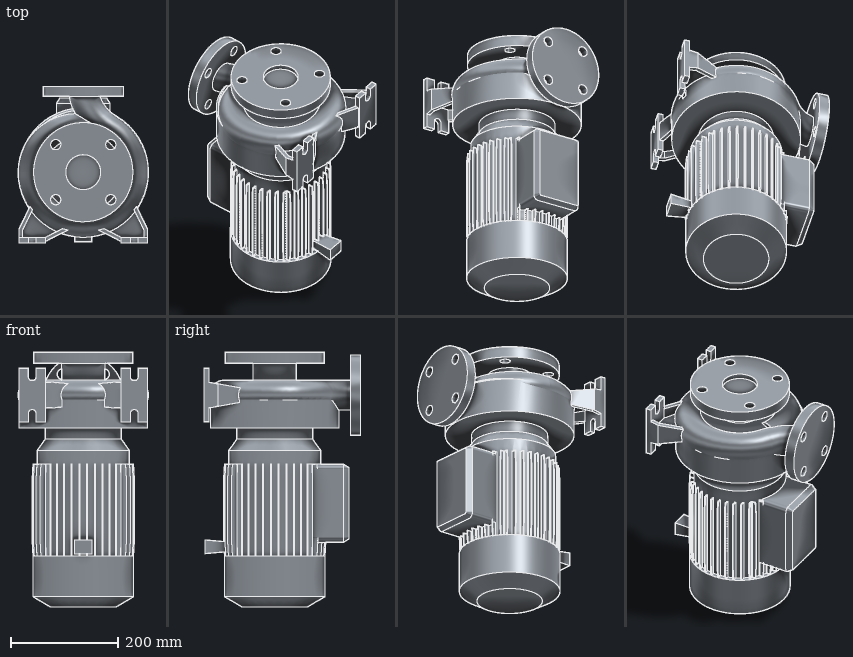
import cadquery as cq
import math


SUCTION_FACE_Z = 80.0
BASE_Z = -395.0
DISCHARGE_FACE_Y = 160.0
FOOT_FACE_Y = -132.0

SUCTION_FLANGE_D = 185.0
SUCTION_FLANGE_T = 21.0
SUCTION_BOLT_CIRCLE_D = 145.0
SUCTION_NECK_D = 81.0
SUCTION_BORE_D = 65.0
SUCTION_BORE_DEPTH = 10.0

DISCHARGE_FLANGE_D = 150.0
DISCHARGE_FLANGE_T = 19.0
DISCHARGE_BOLT_CIRCLE_D = 110.0

BOLT_HOLE_D = 19.0
BOLT_COUNT = 4

CASING_R = 120.0
CASING_TOP_Z = 7.0
CASING_BOTTOM_Z = -61.5
CASING_CHAMFER = 4.0
TUBE_R = 28.0
SCROLL_OUTER_R = 121.5
SCROLL_R = SCROLL_OUTER_R - TUBE_R
SCROLL_END_ANGLE = 60.0
TAIL_R = 82.0
TAIL_SWEEP = 115.0
HUB_R = 85.0
HUB_TOP_Z = 19.5

LANTERN_R = 71.0
LANTERN_CONE_TOP_Z = -82.0
LANTERN_CONE_BOTTOM_Z = -103.0
BODY_R = 86.0
FIN_TOP_Z = -128.5
FAN_COVER_TOP_Z = -299.5
FAN_COVER_R = 94.0
FAN_CONE_TOP_Z = -375.5
FAN_CONE_BOTTOM_R = 61.0

FIN_HEIGHT = 9.5
FIN_ROW_R = 93.5
FIN_END_DROP = 1.5
FIN_END_SLOPE_LENGTH = 25.0
FIN_T = 2.0
FIN_PITCH_ANGLE = 9.0
FINS_PER_HALF_SIDE = 5

BOX_WIDTH = 100.0
BOX_TOP_Z = FIN_TOP_Z
BOX_HEIGHT = 146.0
BOX_FACE_Y = 138.5
BOX_EDGE_R = 10.0
BOX_BEVEL_DEPTH = 10.5
BOX_BEVEL_INSET = 6.5

SUPPORT_FACE_Y = -130.0
SUPPORT_WIDTH = 33.0
SUPPORT_HEIGHT = 26.0
SUPPORT_CENTRE_Z = -282.5
SUPPORT_DRAFT = 5.0
SUPPORT_ROOT_Y = -80.0

FOOT_PLATE_OUTER_X = 120.0
FOOT_PLATE_WIDTH = 50.0
FOOT_PLATE_HEIGHT = 100.0
FOOT_PLATE_T = 10.0
FOOT_SLOT_W = 14.0
FOOT_SLOT_DEPTH = 23.0
FOOT_WALL_T = 7.0
FOOT_BEND_Y = -106.0
FOOT_OUTER_ROOT = (90.0, -45.0)
FOOT_INNER_ROOT = (25.0, -106.0)
FOOT_GUSSET_T = 6.0
FOOT_HALF_HEIGHT_AT_PLATE = 24.0
FOOT_HALF_HEIGHT_AT_ROOT = 10.0


def cylinder(radius, bottom_z, top_z):
    return cq.Workplane("XY").workplane(offset=bottom_z).circle(radius).extrude(top_z - bottom_z)


def bolt_holes(plane, bolt_circle_d, depth):
    """Four holes straddling the flange centrelines, drilled along the plane normal."""
    return (
        cq.Workplane(plane)
        .polarArray(bolt_circle_d / 2, 180 / BOLT_COUNT, 360, BOLT_COUNT)
        .circle(BOLT_HOLE_D / 2)
        .extrude(depth)
    )


def suction_inlet():
    flange_back_z = SUCTION_FACE_Z - SUCTION_FLANGE_T
    flange = cylinder(SUCTION_FLANGE_D / 2, flange_back_z, SUCTION_FACE_Z)
    plane = cq.Plane(origin=(0, 0, flange_back_z), xDir=(1, 0, 0), normal=(0, 0, 1))
    flange = flange.cut(bolt_holes(plane, SUCTION_BOLT_CIRCLE_D, SUCTION_FLANGE_T))
    neck = cylinder(SUCTION_NECK_D / 2, 0, flange_back_z)
    bore = cylinder(SUCTION_BORE_D / 2, SUCTION_FACE_Z - SUCTION_BORE_DEPTH, SUCTION_FACE_Z)
    return flange.union(neck).cut(bore)


def bent_tube(start, start_angle, bend_centre, sweep):
    """Round tube in the XY plane, turned by sweep degrees about a vertical axis at bend_centre.

    start is the first centreline point; start_angle is the direction across the tube there.
    """
    angle = math.radians(start_angle)
    across = (math.cos(angle), math.sin(angle), 0)
    normal = (math.sin(angle), -math.cos(angle), 0)
    section = cq.Plane(origin=(*start, 0), xDir=across, normal=normal)
    bend_distance = (bend_centre[0] - start[0]) * across[0] + (bend_centre[1] - start[1]) * across[1]
    return (
        cq.Workplane(section)
        .circle(TUBE_R)
        .revolve(abs(sweep), (bend_distance, 0), (bend_distance, math.copysign(1, sweep)))
    )


def volute():
    casing = cylinder(CASING_R, CASING_BOTTOM_Z, CASING_TOP_Z).faces(">Z").chamfer(CASING_CHAMFER)
    hub = cylinder(HUB_R, 0, HUB_TOP_Z)
    scroll = bent_tube((-SCROLL_R, 0), 180, (0, 0), 180 + SCROLL_END_ANGLE)
    tail = bent_tube((-SCROLL_R, 0), 180, (TAIL_R - SCROLL_R, 0), -TAIL_SWEEP)
    return casing.union(hub).union(scroll).union(tail)


def discharge_outlet():
    end_angle = math.radians(SCROLL_END_ANGLE)
    start = (SCROLL_R * math.cos(end_angle), SCROLL_R * math.sin(end_angle))
    bend_centre = (2 * start[0], 2 * start[1])
    bend = bent_tube(start, SCROLL_END_ANGLE, bend_centre, -SCROLL_END_ANGLE)
    back_y = DISCHARGE_FACE_Y - DISCHARGE_FLANGE_T
    bend = bend.intersect(
        cq.Workplane("XZ", origin=(0, back_y, 0)).circle(DISCHARGE_FLANGE_D).extrude(DISCHARGE_FACE_Y)
    )
    plane = cq.Plane(origin=(0, back_y, 0), xDir=(1, 0, 0), normal=(0, 1, 0))
    flange = cq.Workplane(plane).circle(DISCHARGE_FLANGE_D / 2).extrude(DISCHARGE_FLANGE_T)
    flange = flange.cut(bolt_holes(plane, DISCHARGE_BOLT_CIRCLE_D, DISCHARGE_FLANGE_T))
    return bend.union(flange)


def motor_body():
    profile = [
        (0, CASING_BOTTOM_Z),
        (LANTERN_R, CASING_BOTTOM_Z),
        (LANTERN_R, LANTERN_CONE_TOP_Z),
        (BODY_R, LANTERN_CONE_BOTTOM_Z),
        (BODY_R, FAN_COVER_TOP_Z),
        (FAN_COVER_R, FAN_COVER_TOP_Z),
        (FAN_COVER_R, FAN_CONE_TOP_Z),
        (FAN_CONE_BOTTOM_R, BASE_Z),
        (0, BASE_Z),
    ]
    return cq.Workplane("XZ").polyline(profile).close().revolve(360, (0, 0), (0, 1))


def cooling_fin(offset):
    """One fin spanning the motor along X at the given Y offset, its flat tips sloping at both ends."""
    half_length = math.sqrt(BODY_R**2 - offset**2) + FIN_HEIGHT
    end_half_length = half_length - FIN_END_DROP
    profile = [
        (end_half_length, FAN_COVER_TOP_Z),
        (half_length, FAN_COVER_TOP_Z + FIN_END_SLOPE_LENGTH),
        (half_length, FIN_TOP_Z - FIN_END_SLOPE_LENGTH),
        (end_half_length, FIN_TOP_Z),
    ]
    mirrored_profile = [(-x, z) for x, z in reversed(profile)]
    plane = cq.Workplane("XZ", origin=(0, offset + FIN_T / 2, 0))
    return plane.polyline(profile + mirrored_profile).close().extrude(FIN_T)


def cooling_fins():
    """Fins parallel to X on the two X sides and parallel to Y on the two Y sides."""
    fins = cq.Workplane("XY")
    for index in range(FINS_PER_HALF_SIDE):
        angle = math.radians((index + 0.5) * FIN_PITCH_ANGLE)
        offset = FIN_ROW_R * math.sin(angle)
        for side in (-1, 1):
            fin = cooling_fin(side * offset)
            fins = fins.add(fin).add(fin.rotate((0, 0, 0), (0, 0, 1), 90))
    return fins.combine()


def terminal_box():
    """Box with rounded edges along Y and a bevel all round its outer face."""
    straight_depth = BOX_FACE_Y - BOX_BEVEL_DEPTH
    plane = cq.Plane(origin=(0, 0, BOX_TOP_Z - BOX_HEIGHT / 2), xDir=(1, 0, 0), normal=(0, 1, 0))
    box = cq.Workplane(plane).rect(BOX_WIDTH, BOX_HEIGHT).extrude(straight_depth)
    box = box.edges("|Y").fillet(BOX_EDGE_R)
    bevel_angle = math.degrees(math.atan(BOX_BEVEL_INSET / BOX_BEVEL_DEPTH))
    bevel = box.faces(">Y").wires().toPending().extrude(BOX_BEVEL_DEPTH, combine=False, taper=bevel_angle)
    return box.union(bevel)


def motor_support():
    plane = cq.Plane(origin=(0, SUPPORT_FACE_Y, SUPPORT_CENTRE_Z), xDir=(1, 0, 0), normal=(0, 1, 0))
    return (
        cq.Workplane(plane)
        .rect(SUPPORT_WIDTH, SUPPORT_HEIGHT)
        .extrude(SUPPORT_ROOT_Y - SUPPORT_FACE_Y, taper=SUPPORT_DRAFT)
    )


def foot_plate():
    centre_x = FOOT_PLATE_OUTER_X - FOOT_PLATE_WIDTH / 2
    plane = cq.Plane(origin=(centre_x, FOOT_FACE_Y, 0), xDir=(1, 0, 0), normal=(0, 1, 0))
    plate = cq.Workplane(plane).rect(FOOT_PLATE_WIDTH, FOOT_PLATE_HEIGHT).extrude(FOOT_PLATE_T)
    slots = (
        cq.Workplane(plane)
        .pushPoints([(0, FOOT_PLATE_HEIGHT / 2), (0, -FOOT_PLATE_HEIGHT / 2)])
        .slot2D(2 * FOOT_SLOT_DEPTH, FOOT_SLOT_W, 90)
        .extrude(FOOT_PLATE_T)
    )
    return plate.cut(slots)


def foot_bracket():
    """Two splayed walls joined by a gusset at mid height, tapering toward the volute."""
    plate_back_y = FOOT_FACE_Y + FOOT_PLATE_T
    front_y = plate_back_y - FOOT_WALL_T
    root_y = FOOT_OUTER_ROOT[1]
    corners = [
        (FOOT_PLATE_OUTER_X - FOOT_PLATE_WIDTH, front_y),
        (FOOT_PLATE_OUTER_X, front_y),
        (FOOT_PLATE_OUTER_X, FOOT_BEND_Y),
        FOOT_OUTER_ROOT,
        FOOT_INNER_ROOT,
    ]
    block = cq.Workplane("XY").polyline(corners).close().extrude(FOOT_HALF_HEIGHT_AT_PLATE, both=True)
    cavity = (
        cq.Workplane("XY")
        .polyline(corners)
        .close()
        .offset2D(-FOOT_WALL_T, "intersection")
        .extrude(FOOT_HALF_HEIGHT_AT_PLATE, both=True)
    )
    gusset = block.intersect(
        cq.Workplane("XY").rect(4 * CASING_R, 4 * CASING_R).extrude(FOOT_GUSSET_T / 2, both=True)
    )
    side_profile = cq.Workplane("YZ").polyline([
        (front_y, FOOT_HALF_HEIGHT_AT_PLATE),
        (plate_back_y, FOOT_HALF_HEIGHT_AT_PLATE),
        (root_y, FOOT_HALF_HEIGHT_AT_ROOT),
        (root_y, -FOOT_HALF_HEIGHT_AT_ROOT),
        (plate_back_y, -FOOT_HALF_HEIGHT_AT_PLATE),
        (front_y, -FOOT_HALF_HEIGHT_AT_PLATE),
    ]).close().extrude(FOOT_PLATE_OUTER_X)
    return block.cut(cavity).intersect(side_profile).union(gusset)


def feet():
    right_foot = foot_plate().union(foot_bracket())
    return right_foot.union(right_foot.mirror("YZ"))


result = (
    volute()
    .union(suction_inlet())
    .union(discharge_outlet())
    .union(motor_body())
    .union(cooling_fins())
    .union(terminal_box())
    .union(motor_support())
    .union(feet())
)